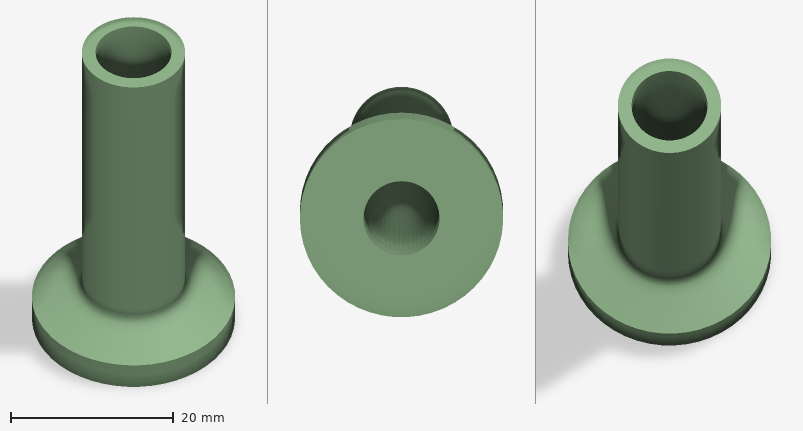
import cadquery as cq
import math

total_height = 44.5
flange_radius = 12.5
rim_height = 3.6
cone_angle = 20.0
tube_radius = 6.35
bore_radius = 4.67
neck_fillet = 0.8

cone_rise = (flange_radius - tube_radius) * math.tan(math.radians(cone_angle))
neck_height = rim_height + cone_rise

half_section = (
    cq.Workplane("XZ")
    .moveTo(bore_radius, 0)
    .lineTo(flange_radius, 0)
    .lineTo(flange_radius, rim_height)
    .lineTo(tube_radius, neck_height)
    .lineTo(tube_radius, total_height)
    .lineTo(bore_radius, total_height)
    .close()
)
body = half_section.revolve(360, (0, 0, 0), (0, 1, 0))

neck_edge = cq.selectors.BoxSelector(
    (-flange_radius, -flange_radius, neck_height - neck_fillet),
    (flange_radius, flange_radius, neck_height + neck_fillet),
)
result = body.edges("%CIRCLE").edges(neck_edge).fillet(neck_fillet)